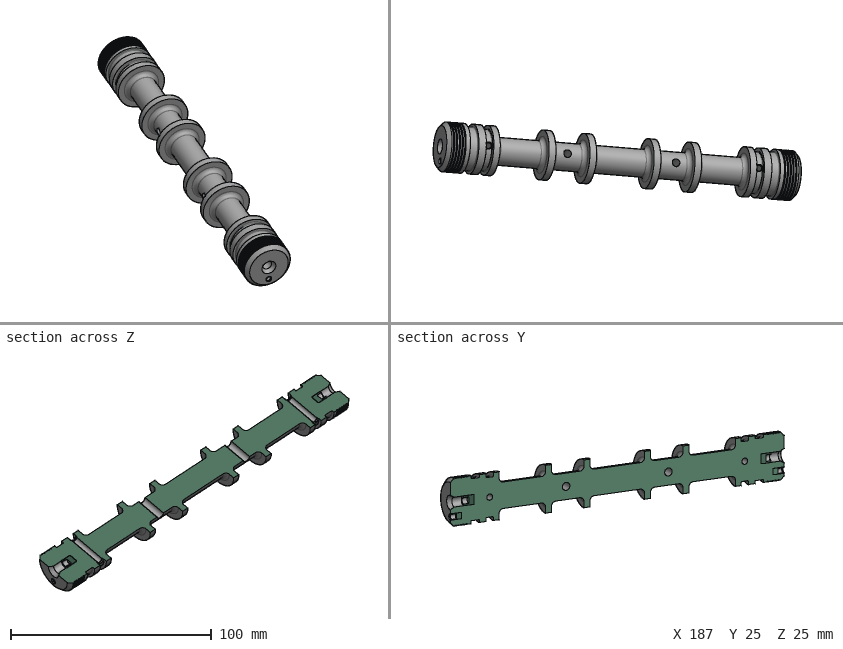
import cadquery as cq

length = 187.0
half_length = length / 2
land_diameter = 25.0
shaft_diameter = 14.0
cutter_diameter = land_diameter + 3.7

end_land_end = 27.5
end_chamfer = 2.0
wide_groove_start = 11.8
wide_groove_end = 16.3
wide_groove_diameter = 22.0
wide_groove_corner = 0.2
narrow_groove_start = 20.2
narrow_groove_end = 24.1
narrow_groove_diameter = 21.0
narrow_groove_corner = 0.4

fine_groove_count = 5
fine_groove_start = 3.0
fine_groove_pitch = 1.5
fine_groove_width = 0.5
fine_groove_diameter = 24.5

flange_width = 3.5
outer_flange_start = 53.3
inner_flange_start = 74.8
root_fillet = 2.2

shaft_hole_position = 64.9
shaft_hole_diameter = 4.0
groove_hole_position = (narrow_groove_start + narrow_groove_end) / 2
groove_hole_diameter = 3.0
groove_counterbore_diameter = 3.5
groove_counterbore_depth = 1.0

bore_mouth_diameter = 7.5
bore_diameter = 4.9
bore_taper_depth = 2.2
bore_plug_recess = 7.5
bore_plug_length = 5.6
bore_plug_socket_diameter = 3.2
bore_plug_socket_depth = 2.8

side_hole_offset = -7.5
side_plug_diameter = 3.0
side_plug_recess = 0.7
side_plug_length = 5.6
side_plug_socket_diameter = 2.5
side_plug_socket_depth = 2.8


def cylinder(start, end, diameter, z=0.0):
    """Cylinder along X between two distances from the left end face."""
    plane = cq.Workplane("YZ", origin=(start - half_length, 0, z))
    return plane.circle(diameter / 2).extrude(end - start)


def groove(start, end, floor_diameter):
    """Ring that cuts a groove down to the floor diameter."""
    return cylinder(start, end, cutter_diameter).cut(cylinder(start, end, floor_diameter))


def rounded_groove(start, end, floor_diameter, corner_radius):
    """Groove cutter with rounded floor corners."""
    floor_edges = cq.selectors.RadiusNthSelector(0)
    return groove(start, end, floor_diameter).edges(floor_edges).fillet(corner_radius)


def cross_hole(position, diameter, y_start, y_end):
    """Hole cutter along Y between two Y positions."""
    plane = cq.Plane((position - half_length, y_start, 0), xDir=(0, 0, 1), normal=(0, 1, 0))
    return cq.Workplane(plane).circle(diameter / 2).extrude(y_end - y_start)


def shaft_section_cutter(start, end):
    """Space around the shaft between two shoulders, with a root fillet at each end."""
    return rounded_groove(start, end, shaft_diameter, root_fillet)


def turned_body():
    """Full-diameter bar turned down to the shaft between the lands and flanges."""
    body = cylinder(0, length, land_diameter).faces("<X or >X").chamfer(end_chamfer)
    left_shoulders = [
        (0, end_land_end),
        (outer_flange_start, outer_flange_start + flange_width),
        (inner_flange_start, inner_flange_start + flange_width),
    ]
    right_shoulders = [(length - end, length - start) for start, end in reversed(left_shoulders)]
    shoulders = left_shoulders + right_shoulders
    for left, right in zip(shoulders, shoulders[1:]):
        body = body.cut(shaft_section_cutter(left[1], right[0]))
    return body


def bore_cutter():
    """Central bore with its tapered mouth, deep enough to hold the plug."""
    depth = bore_plug_recess + bore_plug_length
    mouth = cq.Solid.makeCone(
        bore_mouth_diameter / 2,
        bore_diameter / 2,
        bore_taper_depth,
        pnt=cq.Vector(-half_length, 0, 0),
        dir=cq.Vector(1, 0, 0),
    )
    return cylinder(0, depth, bore_diameter).union(cq.Workplane(obj=mouth))


def groove_hole_cutters():
    """Through hole in the narrow groove and the counterbores at its two mouths."""
    outside = cutter_diameter / 2
    step = narrow_groove_diameter / 2 - groove_counterbore_depth
    return [
        cross_hole(groove_hole_position, groove_hole_diameter, -outside, outside),
        cross_hole(groove_hole_position, groove_counterbore_diameter, -outside, -step),
        cross_hole(groove_hole_position, groove_counterbore_diameter, step, outside),
    ]


def left_end_cutters():
    """All grooves and holes in the left half of the spool."""
    cutters = [
        rounded_groove(wide_groove_start, wide_groove_end, wide_groove_diameter, wide_groove_corner),
        rounded_groove(narrow_groove_start, narrow_groove_end, narrow_groove_diameter, narrow_groove_corner),
    ]
    for index in range(fine_groove_count):
        start = fine_groove_start + index * fine_groove_pitch
        cutters.append(groove(start, start + fine_groove_width, fine_groove_diameter))
    cutters.append(bore_cutter())
    cutters.append(cylinder(0, side_plug_recess + side_plug_length, side_plug_diameter, side_hole_offset))
    cutters.extend(groove_hole_cutters())
    outside = cutter_diameter / 2
    cutters.append(cross_hole(shaft_hole_position, shaft_hole_diameter, -outside, outside))
    return cutters


def make_spool():
    """Spool body, the same at both ends."""
    body = turned_body()
    for cutter in left_end_cutters():
        body = body.cut(cutter).cut(cutter.mirror("YZ"))
    return body


def plug(recess, plug_length, diameter, socket_diameter, socket_depth, z=0.0):
    """Plug set into the left end, with a round socket in its outer face."""
    body = cylinder(recess, recess + plug_length, diameter, z)
    return body.cut(cylinder(recess, recess + socket_depth, socket_diameter, z))


def make_bore_plug():
    return plug(
        bore_plug_recess,
        bore_plug_length,
        bore_diameter,
        bore_plug_socket_diameter,
        bore_plug_socket_depth,
    )


def make_side_plug():
    return plug(
        side_plug_recess,
        side_plug_length,
        side_plug_diameter,
        side_plug_socket_diameter,
        side_plug_socket_depth,
        side_hole_offset,
    )


spool = make_spool()

plugs = []
for left_plug in (make_bore_plug(), make_side_plug()):
    plugs.append(left_plug.val())
    plugs.append(left_plug.mirror("YZ").val())

result = cq.Compound.makeCompound([spool.val(), *plugs])